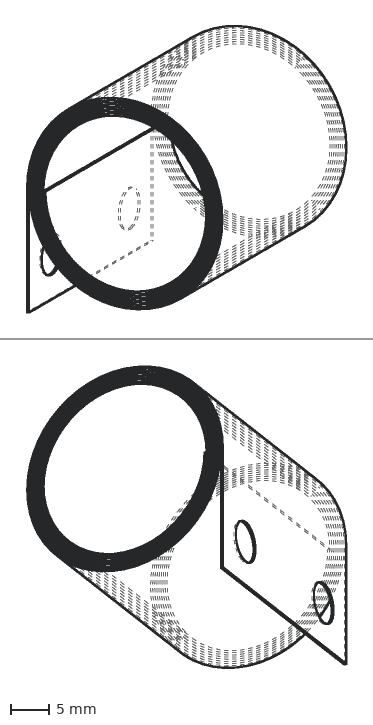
import cadquery as cq

band_width = 35.0
band_thickness = 0.298
coil_gap = 0.007
turns = 8
coil_radius = 14.42
tab_length = 16.98

hole_diameter = 5.6
hole_spacing = 22.15
hole_height = 6.2

pitch = band_thickness + coil_gap
center_shift = pitch / 2
half_turns = 2 * turns


def half_turn(outline, index, surface_radius, inward=False):
    """Add one semicircle of the winding, counted from the inner end of the band.

    Even half turns run below the axis from left to right, odd ones run above
    it from right to left. Traced inward, each arc is followed backwards.
    """
    is_lower = index % 2 == 0
    center = center_shift if is_lower else 0.0
    radius = surface_radius - (half_turns - 1 - index) * pitch / 2
    side = 1 if is_lower != inward else -1
    middle = (center, -radius if is_lower else radius)
    return outline.threePointArc(middle, (center + side * radius, 0))


def wound_band():
    """Extrude the closed outline of the coil and its tab along the band width."""
    inner_radius = coil_radius - band_thickness
    start_x = center_shift - (coil_radius - (half_turns - 1) * pitch / 2)
    outline = cq.Workplane("XZ", origin=(0, band_width / 2, 0)).moveTo(start_x, 0)
    for index in range(half_turns):
        outline = half_turn(outline, index, coil_radius)
    outline = (
        outline.lineTo(-coil_radius, -tab_length)
        .lineTo(-inner_radius, -tab_length)
        .lineTo(-inner_radius, 0)
    )
    for index in reversed(range(half_turns)):
        outline = half_turn(outline, index, inner_radius, inward=True)
    return outline.close().extrude(band_width)


def tab_holes():
    """Pins that pierce only the tab, staying clear of the coil behind it."""
    return (
        cq.Workplane("YZ", origin=(-coil_radius - band_thickness, 0, hole_height - tab_length))
        .pushPoints([(-hole_spacing / 2, 0), (hole_spacing / 2, 0)])
        .circle(hole_diameter / 2)
        .extrude(3 * band_thickness)
    )


result = wound_band().cut(tab_holes())